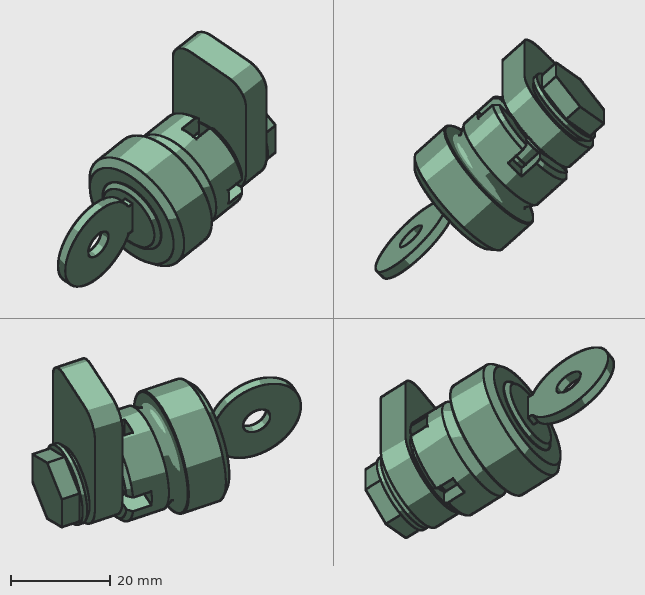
import cadquery as cq
import math


bezel_radius = 26.0 / 2
bezel_length = 9.9
bezel_front_chamfer = 1.5
bezel_rear_chamfer = 0.15
neck_radius = 19.7 / 2
neck_bezel_fillet = 0.85
neck_cone_fillet = 1.0
cone_angle = math.radians(30)
cone_rear_y = 3.3
barrel_radius = 22.0 / 2
barrel_length = 12.2
barrel_rear_chamfer = 1.0
slot_width = 3.95
slot_length = 5.1
slot_count = 4

plug_radius = 16.0 / 2
plug_chamfer = 1.0
plug_protrusion = 0.85
core_radius = 12.2 / 2
core_shoulder_y = 8.1
tail_radius = 11.8 / 2
tail_recess = 0.4
lug_width = 3.25
lug_length = 1.25
stem_radius = 8.4 / 2
stem_fillet = 1.0

washer_radius = 15.9 / 2
washer_thickness = 0.15
washer_front_gap = 0.8
cam_thickness = 6.15
cam_half_width = 10.0
cam_round_z = 1.5
cam_top_z = 26.5
cam_corner_radius = 5.0
bolt_flange_radius = 17.0 / 2
bolt_chamfer = 1.0
bolt_rim_length = 1.0
hex_across_flats = 14.0
hex_length = 3.9

total_length = 55.9
key_head_radius = 19.7 / 2
key_hole_radius = 6.0 / 2
key_thickness = 2.0
key_neck_height = 8.05
key_z = 1.0

tail_rear_y = barrel_length - tail_recess
bezel_front_y = -bezel_length
plug_front_y = bezel_front_y - plug_protrusion
washer_front_y = barrel_length + washer_front_gap
cam_front_y = washer_front_y + washer_thickness
bolt_front_y = cam_front_y + cam_thickness
hex_front_y = bolt_front_y + bolt_chamfer + bolt_rim_length
hex_rear_y = hex_front_y + hex_length
key_center_y = hex_rear_y - total_length + key_head_radius


def revolve_about_y(profile):
    """Turn a closed half profile, drawn as (radius, y), about the lock axis."""
    return profile.close().revolve(360, (0, 0, 0), (0, 1, 0))


def cylinder_y(radius, front_y, rear_y):
    """Solid cylinder on the lock axis between two Y positions."""
    return cq.Workplane("XZ", origin=(0, front_y, 0)).circle(radius).extrude(front_y - rear_y)


def housing_blank():
    bezel_blend_radius = neck_radius + neck_bezel_fillet
    arc_middle = neck_bezel_fillet * math.sqrt(0.5)
    cone_front_radius = neck_radius + neck_cone_fillet * (1 - math.cos(cone_angle))
    cone_front_y = cone_rear_y - (barrel_radius - cone_front_radius) / math.tan(cone_angle)
    neck_rear_y = cone_front_y - neck_cone_fillet * math.sin(cone_angle)
    blend_mid_radius = neck_radius + neck_cone_fillet * (1 - math.cos(cone_angle / 2))
    blend_mid_y = neck_rear_y + neck_cone_fillet * math.sin(cone_angle / 2)
    profile = (
        cq.Workplane("XY")
        .moveTo(0, bezel_front_y)
        .lineTo(bezel_radius - bezel_front_chamfer, bezel_front_y)
        .lineTo(bezel_radius, bezel_front_y + bezel_front_chamfer)
        .lineTo(bezel_radius, -bezel_rear_chamfer)
        .lineTo(bezel_radius - bezel_rear_chamfer, 0)
        .lineTo(bezel_blend_radius, 0)
        .threePointArc(
            (bezel_blend_radius - arc_middle, neck_bezel_fillet - arc_middle),
            (neck_radius, neck_bezel_fillet),
        )
        .lineTo(neck_radius, neck_rear_y)
        .threePointArc((blend_mid_radius, blend_mid_y), (cone_front_radius, cone_front_y))
        .lineTo(barrel_radius, cone_rear_y)
        .lineTo(barrel_radius, barrel_length - barrel_rear_chamfer)
        .lineTo(barrel_radius - barrel_rear_chamfer, barrel_length)
        .lineTo(0, barrel_length)
    )
    return revolve_about_y(profile)


def make_housing():
    bore = cylinder_y(core_radius, 0, barrel_length)
    plug_recess = cylinder_y(plug_radius, bezel_front_y, 0)
    housing = housing_blank().cut(bore).cut(plug_recess)
    slot = cq.Workplane("XY").box(slot_width, slot_length, barrel_radius, centered=(True, False, False))
    slot = slot.translate((0, barrel_length - slot_length, 0))
    for index in range(slot_count):
        housing = housing.cut(slot.rotate((0, 0, 0), (0, 1, 0), index * 360 / slot_count))
    return housing


def make_core():
    fillet_middle = stem_fillet * (1 - math.sqrt(0.5))
    profile = (
        cq.Workplane("XY")
        .moveTo(0, plug_front_y)
        .lineTo(plug_radius - plug_chamfer, plug_front_y)
        .lineTo(plug_radius, plug_front_y + plug_chamfer)
        .lineTo(plug_radius, 0)
        .lineTo(core_radius, 0)
        .lineTo(core_radius, core_shoulder_y)
        .lineTo(tail_radius, core_shoulder_y)
        .lineTo(tail_radius, tail_rear_y)
        .lineTo(stem_radius + stem_fillet, tail_rear_y)
        .threePointArc(
            (stem_radius + fillet_middle, tail_rear_y + fillet_middle),
            (stem_radius, tail_rear_y + stem_fillet),
        )
        .lineTo(stem_radius, bolt_front_y)
        .lineTo(0, bolt_front_y)
    )
    lug_block = cq.Workplane("XY").box(lug_width, lug_length, core_radius, centered=(True, False, False))
    lug_block = lug_block.translate((0, core_shoulder_y, 0))
    lug = cylinder_y(core_radius, core_shoulder_y, tail_rear_y).intersect(lug_block)
    return revolve_about_y(profile).union(lug)


def make_washer():
    stem_hole = cylinder_y(stem_radius, washer_front_y, cam_front_y)
    return cylinder_y(washer_radius, washer_front_y, cam_front_y).cut(stem_hole)


def make_cam():
    outline = (
        cq.Workplane("XZ", origin=(0, cam_front_y, 0))
        .moveTo(cam_half_width, cam_round_z)
        .lineTo(cam_half_width, cam_top_z)
        .lineTo(-cam_half_width, cam_top_z)
        .lineTo(-cam_half_width, cam_round_z)
        .threePointArc((0, cam_round_z - cam_half_width), (cam_half_width, cam_round_z))
        .close()
    )
    plate = outline.extrude(-cam_thickness).edges("|Y and >Z").fillet(cam_corner_radius)
    return plate.cut(cylinder_y(stem_radius, cam_front_y, bolt_front_y))


def make_bolt():
    flange_profile = (
        cq.Workplane("XY")
        .moveTo(0, bolt_front_y)
        .lineTo(bolt_flange_radius - bolt_chamfer, bolt_front_y)
        .lineTo(bolt_flange_radius, bolt_front_y + bolt_chamfer)
        .lineTo(bolt_flange_radius, hex_front_y)
        .lineTo(0, hex_front_y)
    )
    hex_head = (
        cq.Workplane("XZ", origin=(0, hex_front_y, 0))
        .transformed(rotate=(0, 0, 90))
        .polygon(6, hex_across_flats / math.cos(math.pi / 6))
        .extrude(-hex_length)
    )
    return revolve_about_y(flange_profile).union(hex_head)


def make_key():
    plane = cq.Workplane("YZ", origin=(0, key_center_y, key_z))
    head = plane.circle(key_head_radius).extrude(key_thickness / 2, both=True)
    neck_length = plug_front_y - key_center_y
    neck = (
        plane.center(neck_length / 2, 0)
        .rect(neck_length, key_neck_height)
        .extrude(key_thickness / 2, both=True)
    )
    hole = plane.circle(key_hole_radius).extrude(key_thickness, both=True)
    return head.union(neck).cut(hole)


housing = make_housing()
core = make_core()
washer = make_washer()
cam = make_cam()
bolt = make_bolt()
key = make_key()

result = cq.Compound.makeCompound(
    [housing.val(), core.val(), washer.val(), cam.val(), bolt.val(), key.val()]
)